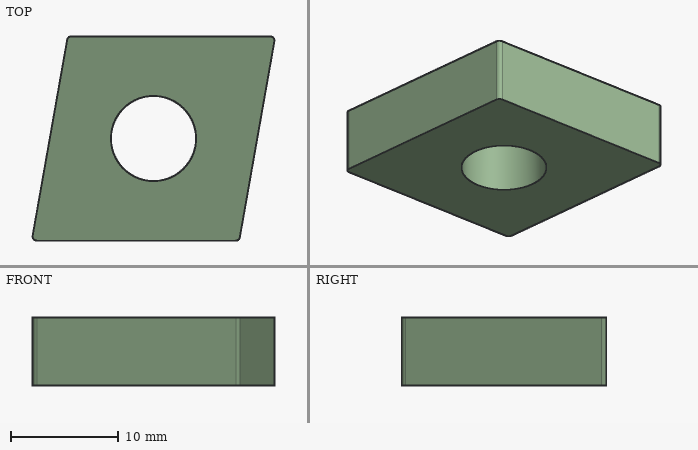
import cadquery as cq
import math

overall_length = 22.55
width = 19.05
thickness = 6.35
hole_diameter = 7.92
acute_angle = 80.0

angle = math.radians(acute_angle)
side = width / math.sin(angle)
lean = side * math.cos(angle)
sharp_length = side + lean

end_loss_per_radius = 1 / math.tan(angle / 2) - 1
corner_radius = (sharp_length - overall_length) / (2 * end_loss_per_radius)


def make_body():
    """Extrude the centred rhombus and round its four upright edges."""
    corners = [
        (-sharp_length / 2, -width / 2),
        (sharp_length / 2 - lean, -width / 2),
        (sharp_length / 2, width / 2),
        (-sharp_length / 2 + lean, width / 2),
    ]
    body = cq.Workplane("XY").polyline(corners).close().extrude(thickness)
    return body.edges("|Z").fillet(corner_radius)


result = make_body().faces(">Z").workplane(origin=(0, 0, thickness)).hole(hole_diameter)